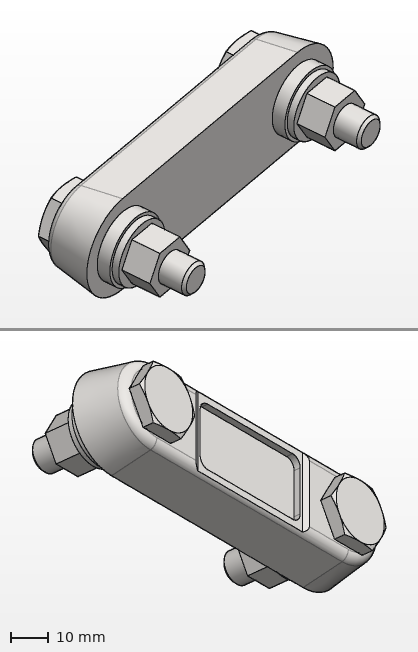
import cadquery as cq
import math


body_length = 107.0
body_width = 31.0
body_depth = 16.0
body_draft = 10.0
side_depth = 13.8
front_round_radius = 3.0
bolt_spacing = body_length - body_width

trough_floor_length = 41.6
trough_top_length = 45.0
trough_depth = 0.85

window_length = 39.7
window_height = 20.2
window_depth = 2.15
window_corner_radius = 3.0

head_height = 4.2
head_across_flats = 19.0
head_chamfer_height = 0.6
bolt_diameter = 10.0
bolt_projection = 24.3
bolt_chamfer = 0.9

collar_diameter = 22.0
collar_thickness = 4.2
washer_diameter = 20.0
washer_thickness = 2.2
nut_across_flats = 15.0
nut_height = 9.3


def corner_diameter(across_flats):
    """Distance across the corners of a hexagon."""
    return across_flats / math.cos(math.pi / 6)


def round_bar(diameter, start, length):
    """Cylinder on the X axis."""
    return cq.Workplane("YZ", origin=(start, 0, 0)).circle(diameter / 2).extrude(length)


def hex_bar(across_flats, start, length):
    """Hexagonal prism on the X axis, with corners at +Y and -Y."""
    return (
        cq.Workplane("YZ", origin=(start, 0, 0))
        .polygon(6, corner_diameter(across_flats))
        .extrude(length)
    )


def half_section(y):
    """Half of the body's cross-section in the XZ plane at y, from the X axis up to the side."""
    side_end_z = body_width / 2 - side_depth * math.tan(math.radians(body_draft))
    round_height = body_depth - side_depth
    round_center_x = front_round_radius - body_depth
    round_angle = math.acos(1 - round_height / front_round_radius)
    flat_end_z = side_end_z - front_round_radius * math.sin(round_angle)
    round_middle = (
        round_center_x - front_round_radius * math.cos(round_angle / 2),
        flat_end_z + front_round_radius * math.sin(round_angle / 2),
    )
    return (
        cq.Workplane("XZ", origin=(0, y, 0))
        .lineTo(0, body_width / 2)
        .lineTo(-side_depth, side_end_z)
        .threePointArc(round_middle, (-body_depth, flat_end_z))
        .lineTo(-body_depth, 0)
        .close()
    )


def make_body():
    """Straight bar with a turned end around each bolt axis."""
    half_bar = half_section(bolt_spacing / 2).extrude(bolt_spacing)
    body = half_bar.union(half_bar.mirror("XY"))
    for side in (-1, 1):
        rounded_end = half_section(side * bolt_spacing / 2).revolve(360, (0, 0, 0), (1, 0, 0))
        body = body.union(rounded_end)
    return body


def make_trough():
    front = -body_depth
    floor = front + trough_depth
    return (
        cq.Workplane("XY")
        .moveTo(front, -trough_top_length / 2)
        .lineTo(front, trough_top_length / 2)
        .lineTo(floor, trough_floor_length / 2)
        .lineTo(floor, -trough_floor_length / 2)
        .close()
        .extrude(body_width / 2, both=True)
    )


def make_window():
    return (
        cq.Workplane("YZ", origin=(trough_depth - body_depth, 0, 0))
        .rect(window_length, window_height)
        .extrude(window_depth)
        .edges("|X")
        .fillet(window_corner_radius)
    )


def make_head():
    """Hexagonal head whose outer corners are turned down to a circle at the end face."""
    head_start = -body_depth - head_height
    turned_blank = (
        cq.Workplane("XY")
        .moveTo(head_start, 0)
        .lineTo(head_start, head_across_flats / 2)
        .lineTo(head_start + head_chamfer_height, corner_diameter(head_across_flats) / 2)
        .lineTo(-body_depth, corner_diameter(head_across_flats) / 2)
        .lineTo(-body_depth, 0)
        .close()
        .revolve(360, (0, 0, 0), (1, 0, 0))
    )
    return hex_bar(head_across_flats, head_start, head_height).intersect(turned_blank)


def make_bolt():
    """Bolt with its collar, washer and nut, centred on the X axis."""
    washer_start = collar_thickness
    nut_start = washer_start + washer_thickness
    shank = round_bar(bolt_diameter, -body_depth, body_depth + bolt_projection)
    shank = shank.faces(">X").chamfer(bolt_chamfer)
    return (
        make_head()
        .union(shank)
        .union(round_bar(collar_diameter, 0, collar_thickness))
        .union(round_bar(washer_diameter, washer_start, washer_thickness))
        .union(hex_bar(nut_across_flats, nut_start, nut_height))
    )


result = make_body().cut(make_trough()).cut(make_window())
for side in (-1, 1):
    result = result.union(make_bolt().translate((0, side * bolt_spacing / 2, 0)))